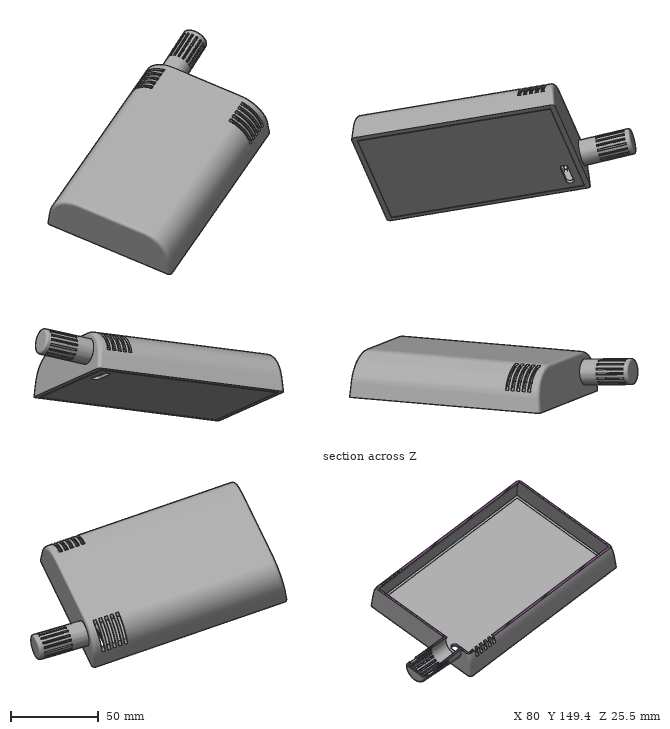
import cadquery as cq
import math

overall_length = 149.4
overall_height = 25.5
plate_drop = 0.5

housing_width = 80.0
housing_length = 120.0
draft_angle = 5.0
shoulder_radius = 18.0
end_edge_radius = 2.1
wall = 1.5
plate_margin = 3.1

plate_thickness = 2.0
opening_length = 16.7
opening_width = 4.5
opening_to_back = 9.9

vent_count = 5
vent_pitch = 3.5
vent_width = 1.8
vent_floor_x = 7.9
vent_floor_z = 12.4
vent_end_draft = 5.0
vents_to_back = 14.2

probe_x = -24.0
probe_wall_height = 13.6
probe_diameter = 15.0
bore_diameter = 12.0
tip_radius = 1.3
tip_thickness = 1.5
probe_slot_count = 16
probe_slot_width = 1.0
probe_slot_length = 16.7
probe_slot_to_tip = 3.1

slope = math.tan(math.radians(draft_angle))
lean_sin = math.sin(math.radians(draft_angle))
lean_cos = math.cos(math.radians(draft_angle))
half_width = housing_width / 2
shoulder_z = overall_height - shoulder_radius
side_end_z = shoulder_z + shoulder_radius * lean_sin
side_end_x = half_width - (side_end_z - plate_drop) * slope
shoulder_x = side_end_x - shoulder_radius * lean_cos
probe_wall_y = housing_length - (probe_wall_height - plate_drop) * slope
tip_face_radius = probe_diameter / 2 - tip_radius
probe_length = (overall_length - probe_wall_y - tip_face_radius * lean_sin) / lean_cos


def cover_solid(inset, bottom_z):
    """Solid of the housing form, moved inwards by the inset and cut off flat at bottom_z."""
    radius = shoulder_radius - inset
    mid_x = shoulder_x + radius * math.cos(math.pi / 4)
    mid_z = shoulder_z + radius * math.sin(math.pi / 4)
    low_x = half_width - inset / lean_cos - (bottom_z - plate_drop) * slope
    tangent_x = shoulder_x + radius * lean_cos
    tangent_z = shoulder_z + radius * lean_sin
    top_z = overall_height - inset
    bar = (
        cq.Workplane("XZ")
        .moveTo(-low_x, bottom_z)
        .lineTo(low_x, bottom_z)
        .lineTo(tangent_x, tangent_z)
        .threePointArc((mid_x, mid_z), (shoulder_x, top_z))
        .lineTo(-shoulder_x, top_z)
        .threePointArc((-mid_x, mid_z), (-tangent_x, tangent_z))
        .close()
        .extrude(-housing_length)
    )
    low_y = inset / lean_cos + (bottom_z - plate_drop) * slope
    high_y = inset / lean_cos + (top_z - plate_drop) * slope
    leaning_ends = (
        cq.Workplane("YZ")
        .polyline([
            (low_y, bottom_z),
            (housing_length - low_y, bottom_z),
            (housing_length - high_y, top_z),
            (high_y, top_z),
        ])
        .close()
        .extrude(half_width, both=True)
    )
    return bar.intersect(leaning_ends)


def vent_cutter(side, y):
    """Prism that cuts one vent through a shoulder, its end walls meeting in a shallow V."""
    floor_x = shoulder_x + vent_floor_x
    floor_z = shoulder_z + vent_floor_z
    wall_angle = math.radians(45 + vent_end_draft)
    long_leg = shoulder_radius * math.sin(wall_angle)
    short_leg = shoulder_radius * math.cos(wall_angle)
    return (
        cq.Workplane("XZ")
        .polyline([
            (side * floor_x, floor_z),
            (side * (floor_x + long_leg), floor_z - short_leg),
            (side * (floor_x + long_leg), floor_z + long_leg),
            (side * (floor_x - short_leg), floor_z + long_leg),
        ])
        .close()
        .extrude(vent_width / 2, both=True)
        .translate((0, y, 0))
    )


def along_probe(body):
    """Move a body built along +Z from the origin onto the probe axis."""
    return (
        body
        .rotate((0, 0, 0), (1, 0, 0), draft_angle - 90)
        .translate((probe_x, probe_wall_y, probe_wall_height))
    )


def plate_block():
    return (
        cq.Workplane("XY")
        .box(
            housing_width - 2 * plate_margin,
            housing_length - 2 * plate_margin,
            plate_thickness,
            centered=(True, True, False),
        )
        .translate((0, housing_length / 2, 0))
    )


def make_housing():
    body = cover_solid(0, plate_drop)
    body = body.faces("<Y or >Y").edges("not <Z").fillet(end_edge_radius)
    body = body.cut(cover_solid(wall, plate_thickness)).cut(plate_block())
    middle_vent_y = housing_length - vents_to_back
    for index in range(vent_count):
        y = middle_vent_y + (index - (vent_count - 1) / 2) * vent_pitch
        for side in (-1, 1):
            body = body.cut(vent_cutter(side, y))
    probe_hole = (
        cq.Workplane("XY")
        .workplane(offset=-2 * wall)
        .circle(probe_diameter / 2)
        .extrude(4 * wall)
    )
    return body.cut(along_probe(probe_hole))


def make_base_plate():
    opening = (
        cq.Workplane("XY")
        .center(probe_x, housing_length - opening_to_back)
        .slot2D(opening_length, opening_width)
        .extrude(plate_thickness)
    )
    return plate_block().cut(opening)


def make_probe():
    """Slotted tube with a closed, rounded tip, its open end flush inside the rear wall."""
    tube = (
        cq.Workplane("XY")
        .workplane(offset=-wall)
        .circle(probe_diameter / 2)
        .extrude(probe_length + wall)
        .faces(">Z")
        .edges()
        .fillet(tip_radius)
    )
    bore = (
        cq.Workplane("XY")
        .workplane(offset=-wall)
        .circle(bore_diameter / 2)
        .extrude(probe_length + wall - tip_thickness)
    )
    tube = tube.cut(bore)
    slot_start = probe_length - probe_slot_to_tip - probe_slot_length
    slot_blade = (
        cq.Workplane("XY")
        .box(probe_diameter, probe_slot_width, probe_slot_length, centered=(False, True, False))
        .translate((0, 0, slot_start))
    )
    for index in range(probe_slot_count):
        angle = index * 360 / probe_slot_count
        tube = tube.cut(slot_blade.rotate((0, 0, 0), (0, 0, 1), angle))
    return along_probe(tube)


housing = make_housing()
base_plate = make_base_plate()
probe = make_probe()

result = cq.Compound.makeCompound([housing.val(), base_plate.val(), probe.val()])